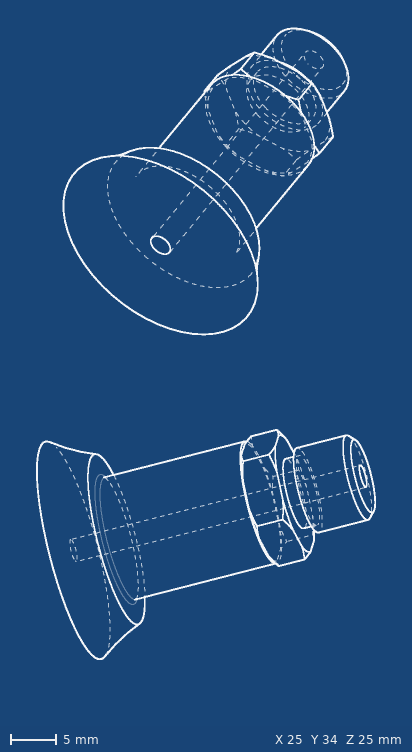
import cadquery as cq
import math

TOTAL_LENGTH = 34.0

FACE_RADIUS = 24.95 / 2
CUP_BACK_RADIUS = 9.75
CUP_HEIGHT = 5.05
SKIRT_SAG = 0.2

BODY_RADIUS = 14.0 / 2
ROOT_FILLET = 0.45

HEX_START = 22.0
HEX_END = 25.98
HEX_ACROSS_FLATS = 13.0
HEX_TURN = 9.0
HEX_CHAMFER_LENGTH = 0.48
HEX_CHAMFER_RADIAL = 0.8

NECK_RADIUS = 8.0 / 2
NECK_END = 27.5
STUD_RADIUS = 9.72 / 2
STUD_CHAMFER = 0.68

BORE_DIAMETER = 2.5


def revolve_profile(profile):
    """Close a radius (X) against length (Y) profile and turn it about the Y axis."""
    return profile.close().revolve(360, (0, 0, 0), (0, 1, 0))


def make_cup():
    slope_radial = FACE_RADIUS - CUP_BACK_RADIUS
    slope_length = math.hypot(slope_radial, CUP_HEIGHT)
    skirt_middle = (
        (FACE_RADIUS + CUP_BACK_RADIUS) / 2 - SKIRT_SAG * CUP_HEIGHT / slope_length,
        CUP_HEIGHT / 2 - SKIRT_SAG * slope_radial / slope_length,
    )
    profile = (
        cq.Workplane("XY")
        .lineTo(FACE_RADIUS, 0)
        .threePointArc(skirt_middle, (CUP_BACK_RADIUS, CUP_HEIGHT))
        .lineTo(0, CUP_HEIGHT)
    )
    return revolve_profile(profile)


def make_body():
    root_radius = BODY_RADIUS + ROOT_FILLET
    fillet_offset = ROOT_FILLET * (1 - math.sqrt(0.5))
    profile = (
        cq.Workplane("XY")
        .lineTo(root_radius, 0)
        .lineTo(root_radius, CUP_HEIGHT)
        .threePointArc(
            (BODY_RADIUS + fillet_offset, CUP_HEIGHT + fillet_offset),
            (BODY_RADIUS, CUP_HEIGHT + ROOT_FILLET),
        )
        .lineTo(BODY_RADIUS, HEX_START)
        .lineTo(0, HEX_START)
    )
    return revolve_profile(profile)


def make_hex_collar():
    corner_radius = HEX_ACROSS_FLATS / math.sqrt(3)
    end_radius = corner_radius - HEX_CHAMFER_RADIAL
    prism = (
        cq.Workplane("XZ", origin=(0, HEX_START, 0))
        .polygon(6, 2 * corner_radius)
        .extrude(HEX_START - HEX_END)
        .rotate((0, 0, 0), (0, 1, 0), HEX_TURN)
    )
    envelope = (
        cq.Workplane("XY")
        .moveTo(0, HEX_START)
        .lineTo(end_radius, HEX_START)
        .lineTo(corner_radius, HEX_START + HEX_CHAMFER_LENGTH)
        .lineTo(corner_radius, HEX_END - HEX_CHAMFER_LENGTH)
        .lineTo(end_radius, HEX_END)
        .lineTo(0, HEX_END)
    )
    return prism.intersect(revolve_profile(envelope))


def make_stud():
    profile = (
        cq.Workplane("XY")
        .moveTo(0, HEX_END)
        .lineTo(NECK_RADIUS, HEX_END)
        .lineTo(NECK_RADIUS, NECK_END)
        .lineTo(STUD_RADIUS, NECK_END)
        .lineTo(STUD_RADIUS, TOTAL_LENGTH - STUD_CHAMFER)
        .lineTo(STUD_RADIUS - STUD_CHAMFER, TOTAL_LENGTH)
        .lineTo(0, TOTAL_LENGTH)
    )
    return revolve_profile(profile)


bore = cq.Workplane("XZ").circle(BORE_DIAMETER / 2).extrude(-TOTAL_LENGTH)

result = make_cup().union(make_body()).union(make_hex_collar()).union(make_stud()).cut(bore)